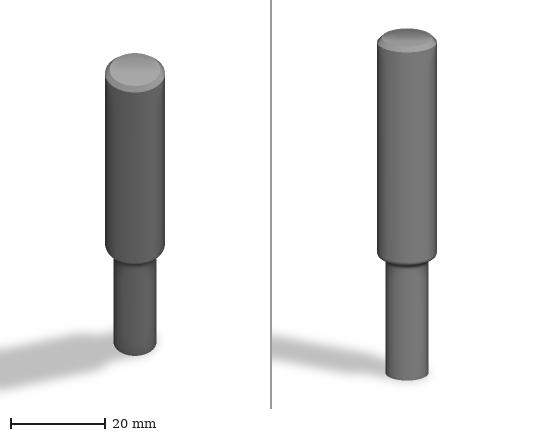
import cadquery as cq
import math

total_length = 76.2
body_diameter = 12.7
shank_diameter = 9.15
top_chamfer = 1.0
shoulder_middle_height = 26.45
shoulder_angle = 30.0
shoulder_radius = 0.9

body_radius = body_diameter / 2
shank_radius = shank_diameter / 2
shoulder_rise = (body_radius - shank_radius) * math.tan(math.radians(shoulder_angle))
shoulder_bottom = shoulder_middle_height - shoulder_rise / 2
shoulder_top = shoulder_middle_height + shoulder_rise / 2

stepped_pin = (
    cq.Workplane("XZ")
    .moveTo(0, 0)
    .lineTo(shank_radius, 0)
    .lineTo(shank_radius, shoulder_bottom)
    .lineTo(body_radius, shoulder_top)
    .lineTo(body_radius, total_length)
    .lineTo(0, total_length)
    .close()
    .revolve(360, (0, 0, 0), (0, 1, 0))
)

chamfered_pin = stepped_pin.faces(">Z").edges().chamfer(top_chamfer)

shoulder_edges = cq.selectors.BoxSelector(
    (-body_diameter, -body_diameter, shoulder_bottom - shoulder_radius),
    (body_diameter, body_diameter, shoulder_top + shoulder_radius),
    boundingbox=True,
)
result = chamfered_pin.edges("%CIRCLE").edges(shoulder_edges).fillet(shoulder_radius)